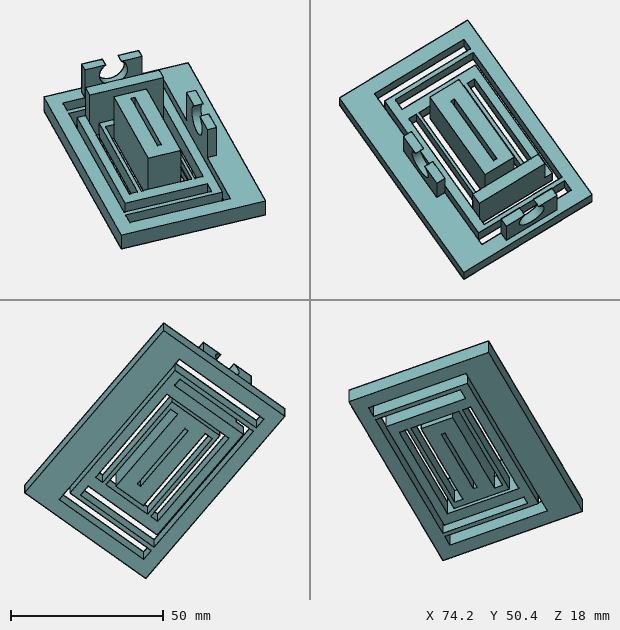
import cadquery as cq

plate_length = 74.2
plate_width = 50.4
plate_height = 6.0
total_height = 18.0
center_x = plate_length / 2

rim_side = 5.05
rim_front = 4.8
opening_back = 39.9

leg_gap = 4.0
leg_width = 1.55
crossbar_gap = 1.3
crossbar_depth = 3.2
outer_left = rim_side + leg_gap
outer_right = plate_length - outer_left
outer_back = opening_back - crossbar_gap
crossbar_front = outer_back - crossbar_depth

stage_left = 13.5
stage_right = 59.5
stage_front = 6.7
stage_bar_depth = 3.0
stage_bar_width = 4.0

center_y = 22.5
inner_left = 18.6
inner_end_width = 2.4
inner_span = 19.95
beam_width = 1.3
inner_front = center_y - inner_span / 2
inner_back = center_y + inner_span / 2
beam_right = stage_right - stage_bar_width
ledge_width = 0.27
ledge_height = plate_height / 2

block_left = inner_left + inner_end_width
block_length = 32.95
block_width = 11.4
slot_left = 23.7
slot_length = 25.3
slot_width = 1.3

tab_thickness = 3.2
tab_width = inner_span
notch_radius = 4.9
notch_center_z = 13.95


def box(x_min, x_max, y_min, y_max, z_min=0, z_max=plate_height):
    size = (x_max - x_min, y_max - y_min, z_max - z_min)
    return cq.Workplane("XY").box(*size, centered=False).translate((x_min, y_min, z_min))


def make_frame():
    plate = box(0, plate_length, 0, plate_width)
    return plate.cut(box(rim_side, plate_length - rim_side, rim_front, opening_back))


def make_outer_flexure():
    flexure = box(outer_left, outer_right, rim_front, outer_back)
    return flexure.cut(box(outer_left + leg_width, outer_right - leg_width, rim_front, crossbar_front))


def make_stage():
    stage_window_front = stage_front + stage_bar_depth
    wall_right = stage_left + stage_bar_width
    front_bar = box(stage_left, stage_right, stage_front, stage_window_front)
    right_bar = box(beam_right, stage_right, stage_front, crossbar_front)
    wall = box(stage_left, wall_right, stage_window_front, crossbar_front, z_max=total_height)
    return front_bar.union(right_bar).union(wall)


def make_inner_flexure():
    window_back = inner_back - beam_width
    flexure = box(inner_left, beam_right, inner_front, inner_back)
    flexure = flexure.cut(box(block_left, beam_right, inner_front + beam_width, window_back))
    return flexure.cut(box(block_left, beam_right, window_back, window_back + ledge_width, ledge_height))


def make_block():
    block = box(
        block_left, block_left + block_length,
        center_y - block_width / 2, center_y + block_width / 2,
        z_max=total_height,
    )
    slot = box(
        slot_left, slot_left + slot_length,
        center_y - slot_width / 2, center_y + slot_width / 2,
        z_max=total_height,
    )
    return block.cut(slot)


def make_tab():
    """Tab standing on the plate, centred on the Z axis, with its thickness toward +Y."""
    half_width = tab_width / 2
    tab = box(-half_width, half_width, 0, tab_thickness, plate_height, total_height)
    notch = (
        cq.Workplane("XZ")
        .center(0, notch_center_z)
        .circle(notch_radius)
        .extrude(-tab_thickness)
    )
    return tab.cut(notch)


back_tab = make_tab().translate((center_x, opening_back, 0))
left_tab = make_tab().rotate((0, 0, 0), (0, 0, 1), 90).translate((rim_side, center_y, 0))

result = make_frame()
for feature in (
    make_outer_flexure(),
    make_stage(),
    make_inner_flexure(),
    make_block(),
    back_tab,
    left_tab,
):
    result = result.union(feature)